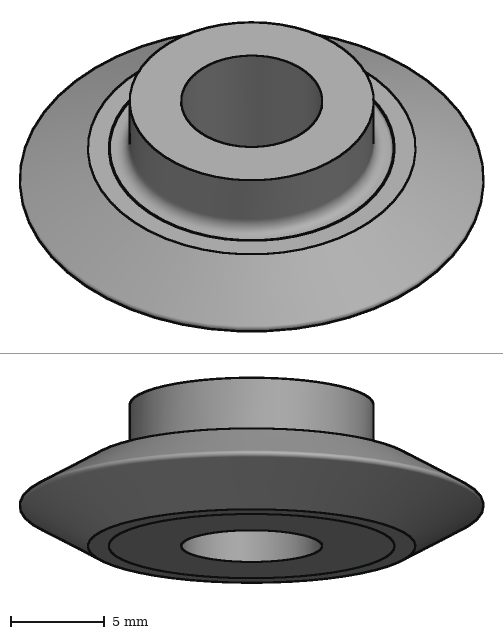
import cadquery as cq
import math

wheel_radius = 12.35
wheel_thickness = 4.42
bevel_angle = math.radians(30.0)
rim_round = 0.2

overall_height = 7.7
hub_radius = 6.5
bore_radius = 3.75
seat_radius = 7.6

groove_depth = 0.17
hub_fillet = 0.7
lip_fillet = groove_depth
lip_width = 0.05


def make_wheel():
    """Revolve the wheel section; the rim arc is tangent to both bevels."""
    middle = wheel_thickness / 2
    tangent_rise = rim_round * math.cos(bevel_angle)
    tangent_radius = wheel_radius - rim_round * (1 - math.sin(bevel_angle))
    bevel_run = (middle - tangent_rise) / math.tan(bevel_angle)
    face_radius = tangent_radius - bevel_run

    return (
        cq.Workplane("XZ")
        .moveTo(seat_radius, 0)
        .lineTo(face_radius, 0)
        .lineTo(tangent_radius, middle - tangent_rise)
        .threePointArc((wheel_radius, middle), (tangent_radius, middle + tangent_rise))
        .lineTo(face_radius, wheel_thickness)
        .lineTo(seat_radius, wheel_thickness)
        .close()
        .revolve(360, (0, 0, 0), (0, 1, 0))
    )


def make_hub():
    """Revolve the hub section, with concave fillets on both sides of the groove."""
    floor = wheel_thickness - groove_depth
    groove_outer = seat_radius - lip_width
    diagonal = math.sqrt(0.5)

    hub_centre = (hub_radius + hub_fillet, floor + hub_fillet)
    hub_middle = (hub_centre[0] - hub_fillet * diagonal, hub_centre[1] - hub_fillet * diagonal)
    lip_centre = (groove_outer - lip_fillet, floor + lip_fillet)
    lip_middle = (lip_centre[0] + lip_fillet * diagonal, lip_centre[1] - lip_fillet * diagonal)

    return (
        cq.Workplane("XZ")
        .moveTo(bore_radius, 0)
        .lineTo(seat_radius, 0)
        .lineTo(seat_radius, wheel_thickness)
        .lineTo(groove_outer, wheel_thickness)
        .threePointArc(lip_middle, (lip_centre[0], floor))
        .lineTo(hub_centre[0], floor)
        .threePointArc(hub_middle, (hub_radius, hub_centre[1]))
        .lineTo(hub_radius, overall_height)
        .lineTo(bore_radius, overall_height)
        .close()
        .revolve(360, (0, 0, 0), (0, 1, 0))
    )


wheel = make_wheel()
hub = make_hub()
result = cq.Compound.makeCompound([wheel.val(), hub.val()])